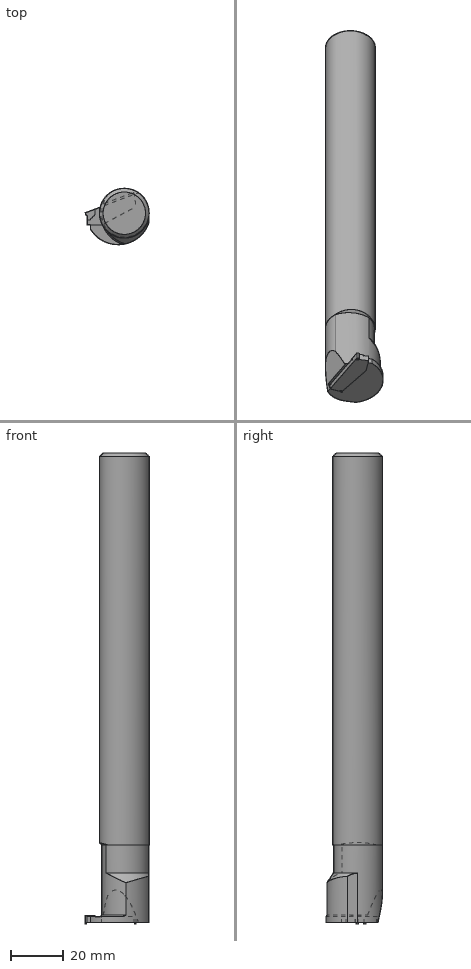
import cadquery as cq
import math

overall_length = 180.0
shank_radius = 9.5
shank_bottom = 30.2
top_chamfer = 1.5
relief_height = 1.0

head_bottom = 0.5
neck_radius = 9.4
neck_offset_y = 0.2
boss_radius = 12.5
boss_center = (-2.3, 0.4)
boss_right = 9.4
boss_left = -13.0
boss_shoulder_bottom = 15.3
boss_shoulder_top = 19.5
shoulder_radius = 12.0
plate_top = 2.9

core_radius = 12.0
core_center = (3.5, 0.0)
core_flare = 0.5

tip = (-15.0, 0.2)
inner_tip = (4.5, 2.5)
tip_flank = (-14.8, -0.7)
tip_root = (-14.2, -0.9)
heel = (-14.2, -4.5)
seat_corner = (-8.6, -4.5)
far_corner = (3.8, 7.2)
tip_top = 3.2
raised_tip_end = -11.2
raised_tip_chamfer = 2.0
tooth_width = 0.5
tooth_length = 0.7
gullet_lean = 0.33
clearance = 36.0

edge_x = far_corner[0] - tip[0]
edge_y = far_corner[1] - tip[1]
edge_length = math.hypot(edge_x, edge_y)
along = (edge_x / edge_length, edge_y / edge_length)
outward = (-along[1], along[0])


def prism(points, bottom, top):
    return cq.Workplane("XY").workplane(offset=bottom).polyline(points).close().extrude(top - bottom)


def cylinder(center, radius, bottom, top):
    return cq.Workplane("XY").workplane(offset=bottom).center(*center).circle(radius).extrude(top - bottom)


def cone(center, bottom_radius, top_radius, bottom, top):
    solid = cq.Solid.makeCone(bottom_radius, top_radius, top - bottom, cq.Vector(*center, bottom))
    return cq.Workplane("XY").add(solid)


def make_core():
    """Space inside the groove wall, flared where it meets the plate."""
    relief_top = shank_bottom + relief_height
    straight = cylinder(core_center, core_radius, head_bottom, shank_bottom)
    flare = cone(core_center, core_radius + core_flare, core_radius, plate_top, plate_top + core_flare)
    bevel = cone(core_center, core_radius, core_radius + relief_height, shank_bottom, relief_top)
    return straight.union(flare).union(bevel)


def make_boss():
    """Bulge on the -Y side, with a conical shoulder running up to the neck."""
    boss = cylinder(boss_center, boss_radius, head_bottom, boss_shoulder_top)
    limit = prism(
        [(boss_left, -clearance), (boss_right, -clearance), (boss_right, 0), (boss_left, 0)],
        head_bottom,
        boss_shoulder_top,
    )
    envelope = cylinder((0, 0), clearance, head_bottom, boss_shoulder_bottom).union(
        cone((0, 0), shoulder_radius, neck_radius, boss_shoulder_bottom, boss_shoulder_top)
    )
    return boss.intersect(limit).intersect(envelope)


def make_gullet():
    """Leaning flat that clears chips in front of the cutting edge."""
    plane = cq.Plane(
        origin=(*tip, head_bottom),
        xDir=(*along, 0),
        normal=(*outward, -gullet_lean),
    )
    return cq.Workplane(plane).rect(2 * clearance, 2 * clearance).extrude(clearance)


def make_seat():
    """Pocket for the insert, open to the outside and to the gullet."""
    outline = [
        (-clearance, heel[1]),
        seat_corner,
        inner_tip,
        far_corner,
        (far_corner[0] + clearance * outward[0], far_corner[1] + clearance * outward[1]),
        (-clearance, clearance),
    ]
    return prism(outline, head_bottom, plate_top)


def make_holder():
    shank = cylinder((0, 0), shank_radius, shank_bottom, overall_length)
    shank = shank.faces(">Z").chamfer(top_chamfer)
    neck = cylinder((0, neck_offset_y), neck_radius, head_bottom, shank_bottom)
    body = neck.union(make_boss())
    plate = body.intersect(cylinder((0, 0), clearance, head_bottom, plate_top))
    upper_body = body.union(shank)
    groove = cylinder((0, 0), clearance, plate_top, shank_bottom + relief_height).cut(make_core())
    return upper_body.cut(groove).union(plate).cut(make_gullet()).cut(make_seat())


def make_tooth(point, direction):
    """Small triangular cutting point below an insert corner."""
    x, y = point
    outline = [
        point,
        (x + direction * tooth_width, y - direction * tooth_length),
        (x + direction * tooth_width * along[0], y + direction * tooth_width * along[1]),
    ]
    return prism(outline, 0, head_bottom)


def make_insert():
    insert = prism([tip, tip_flank, tip_root, heel, seat_corner, inner_tip, far_corner], head_bottom, plate_top)
    rise_y = tip[1] + (raised_tip_end - tip[0]) * along[1] / along[0]
    step_y = heel[1] + raised_tip_chamfer
    raised_tip = prism(
        [
            tip,
            tip_flank,
            tip_root,
            (tip_root[0], step_y),
            (raised_tip_end - raised_tip_chamfer, step_y),
            (raised_tip_end, step_y + raised_tip_chamfer),
            (raised_tip_end, rise_y),
        ],
        plate_top,
        tip_top,
    )
    return insert.union(raised_tip).union(make_tooth(tip, 1)).union(make_tooth(inner_tip, -1))


holder = make_holder()
insert = make_insert()

result = cq.Compound.makeCompound([holder.solids().val(), insert.solids().val()])